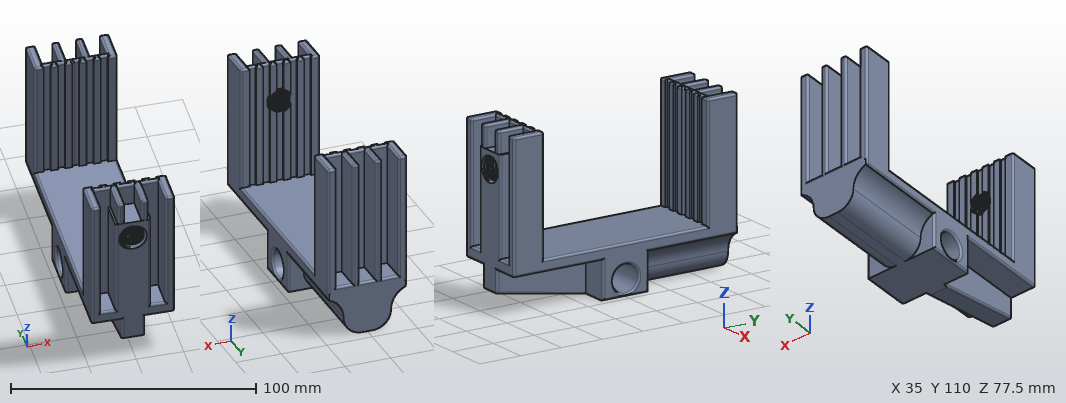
import cadquery as cq
import math

width = 35.0
length = 110.0
height = 77.5

edge_radius = 1.0

slab_bottom = 17.5
floor_top = 23.0
slab_middle = (slab_bottom + floor_top) / 2

arm_depth = 15.0
side_wall = 4.0
fin_width = 3.0
pocket_width = (width - 2 * side_wall - 2 * fin_width) / 3
web_thickness = 3.0
ridge_count = 4
groove_depth = 0.98
ridge_width = (width - 2 * side_wall) / (2 * ridge_count + 1)
ridge_pitch = 2 * ridge_width

boss_width = 15.0
boss_top = 67.5
thread_height = 59.5
thread_minor_radius = 4.6
thread_major_radius = 5.3
thread_pitch = 1.5
thread_flat = 0.2
thread_opening = 1.2
thread_overlap = 0.1
mouth_radius = 5.8

block_length = 22.5
cross_hole_radius = 6.3
cross_hole_height = 7.6

keel_width = 10.0
taper_start = 13.3
taper_angle = 10.0

waist_width = 20.9
waist_height = 8.1
flare_radius = 10.0

outer_y = length / 2
inner_y = outer_y - arm_depth
pocket_y = inner_y + web_thickness


def box(x_range, y_range, z_range):
    """Plain box given by its limits along each axis."""
    (x0, x1), (y0, y1), (z0, z1) = x_range, y_range, z_range
    return cq.Workplane("XY").box(x1 - x0, y1 - y0, z1 - z0, centered=False).translate((x0, y0, z0))


def centred(x, size):
    """Limits of a stretch of the given size centred on x."""
    return (x - size / 2, x + size / 2)


def make_slab():
    slab = box(centred(0, width), centred(0, length), (slab_bottom, floor_top))
    return slab.edges().fillet(edge_radius)


def make_side_wall():
    """Side wall on +X; the edge beside the ridges stays sharp."""
    wall = box((width / 2 - side_wall, width / 2), (inner_y, outer_y), (slab_middle, height))
    return wall.edges("(>Z or >Y or (>X and |Z)) and (not <Z)").fillet(edge_radius)


def make_fin(x):
    fin = box(centred(x, fin_width), (inner_y + groove_depth, outer_y), (slab_middle, height))
    return fin.edges("(>Z or >Y) and (not <Z)").fillet(edge_radius)


def make_web():
    web = box(centred(0, width - side_wall), (inner_y + groove_depth, pocket_y), (slab_middle, height))
    return web.edges(">Z and |X").fillet(edge_radius)


def make_ridge(x):
    ridge = box(centred(x, ridge_width), (inner_y, pocket_y), (slab_middle, height))
    return ridge.edges(">Z").fillet(edge_radius)


def make_arm():
    """Arm at +Y, open towards +Y."""
    wall = make_side_wall()
    arm = make_web().union(wall).union(wall.mirror("YZ"))
    fin_x = (pocket_width + fin_width) / 2
    for x in (-fin_x, fin_x):
        arm = arm.union(make_fin(x))
    for i in range(ridge_count):
        arm = arm.union(make_ridge((i - (ridge_count - 1) / 2) * ridge_pitch))
    return arm


def make_blended_ridge(x):
    """Ridge whose +X flank, at x, runs out to the groove floor in a concave arc."""
    end = x + groove_depth
    middle = (end - groove_depth * math.sqrt(0.5), inner_y + groove_depth * math.sqrt(0.5))
    blend = (
        cq.Workplane("XY", origin=(0, 0, slab_middle))
        .moveTo(x, inner_y)
        .threePointArc(middle, (end, inner_y + groove_depth))
        .lineTo(end, pocket_y)
        .lineTo(x - ridge_width, pocket_y)
        .lineTo(x - ridge_width, inner_y)
        .close()
        .extrude(height - slab_middle)
    )
    return blend.edges(">Z").fillet(edge_radius)


def make_boss():
    boss = box(centred(0, boss_width), (-outer_y, -pocket_y + web_thickness / 2), (slab_middle, boss_top))
    return boss.edges("<Y and |Z").fillet(edge_radius)


def make_block():
    block = box(centred(0, width), centred(0, block_length), (0, slab_middle))
    return block.edges("|Z or (<Z and |Y)").fillet(edge_radius)


def make_tapered_keel():
    rise = (outer_y - taper_start) * math.tan(math.radians(taper_angle))
    keel = (
        cq.Workplane("YZ")
        .moveTo(0, 0)
        .lineTo(-taper_start, 0)
        .lineTo(-outer_y, rise)
        .lineTo(-outer_y, slab_middle)
        .lineTo(0, slab_middle)
        .close()
        .extrude(keel_width / 2, both=True)
    )
    taper_middle = (0, -(taper_start + outer_y) / 2, rise / 2)
    taper_edges = keel.faces(cq.selectors.NearestToPointSelector(taper_middle)).edges()
    return taper_edges.add(keel.faces("<Y").edges("|Z")).fillet(edge_radius)


def make_flared_keel():
    """Keel that is round at the bottom and flares into the slab through concave arcs."""
    waist = waist_width / 2
    flare_rise = slab_bottom - waist_height
    flare_run = flare_radius - math.sqrt(flare_radius**2 - flare_rise**2)
    diagonal = math.sqrt(0.5)
    half_angle = math.asin(flare_rise / flare_radius) / 2
    flare_mid = (
        waist + flare_radius * (1 - math.cos(half_angle)),
        waist_height + flare_radius * math.sin(half_angle),
    )
    foot = waist - waist_height
    foot_mid = (foot + waist_height * diagonal, waist_height * (1 - diagonal))
    half = (
        cq.Workplane("XZ")
        .moveTo(0, 0)
        .lineTo(foot, 0)
        .threePointArc(foot_mid, (waist, waist_height))
        .threePointArc(flare_mid, (waist + flare_run, slab_bottom))
        .lineTo(waist + flare_run, slab_middle)
        .lineTo(0, slab_middle)
        .close()
        .extrude(-outer_y)
    )
    return half.union(half.mirror("YZ"))


def cut_cross_hole(body):
    """Bore along X through the block, with rounded rims."""
    rim_x = width / 2
    rim_radius = cross_hole_radius + edge_radius
    diagonal = edge_radius * math.sqrt(0.5)
    profile = (
        cq.Workplane("XY")
        .moveTo(0, 0)
        .lineTo(0, cross_hole_radius)
        .lineTo(rim_x - edge_radius, cross_hole_radius)
        .threePointArc((rim_x - edge_radius + diagonal, rim_radius - diagonal), (rim_x, rim_radius))
        .lineTo(rim_x, 0)
        .close()
    )
    half = profile.revolve(360, (0, 0, 0), (1, 0, 0)).translate((0, 0, cross_hole_height))
    return body.cut(half).cut(half.mirror("YZ"))


def make_tapped_cutter():
    """Bore with a helical thread along Z, starting one pitch below the origin."""
    depth = arm_depth + 2 * thread_pitch
    overlap_radius = thread_minor_radius - thread_overlap
    helix = cq.Wire.makeHelix(thread_pitch, depth, overlap_radius)
    groove = (
        cq.Workplane("XZ")
        .moveTo(overlap_radius, -thread_opening / 2)
        .lineTo(thread_major_radius, -thread_flat / 2)
        .lineTo(thread_major_radius, thread_flat / 2)
        .lineTo(overlap_radius, thread_opening / 2)
        .close()
        .sweep(cq.Workplane(helix), isFrenet=True)
    )
    bore = cq.Workplane("XY").circle(thread_minor_radius).extrude(depth + thread_pitch)
    return bore.union(groove).translate((0, 0, -thread_pitch))


def make_mouth_cutter():
    """Cone along +Z that opens the threaded hole out to its mouth radius at the origin."""
    cone_height = mouth_radius - thread_minor_radius
    return (
        cq.Workplane("XY")
        .circle(mouth_radius)
        .workplane(offset=cone_height)
        .circle(thread_minor_radius)
        .loft()
    )


def cut_thread(body):
    """Threaded hole with a chamfered mouth through the front boss and web."""
    for cutter in (make_tapped_cutter(), make_mouth_cutter()):
        aligned = cutter.rotate((0, 0, 0), (1, 0, 0), -90)
        body = body.cut(aligned.translate((0, -outer_y, thread_height)))
    return body


arm = make_arm()
body = make_slab()
for piece in (
    arm,
    make_blended_ridge(-ridge_width / 2),
    arm.mirror("XZ"),
    make_boss(),
    make_block(),
    make_tapered_keel(),
    make_flared_keel(),
):
    body = body.union(piece)
body = cut_cross_hole(body)
result = cut_thread(body)